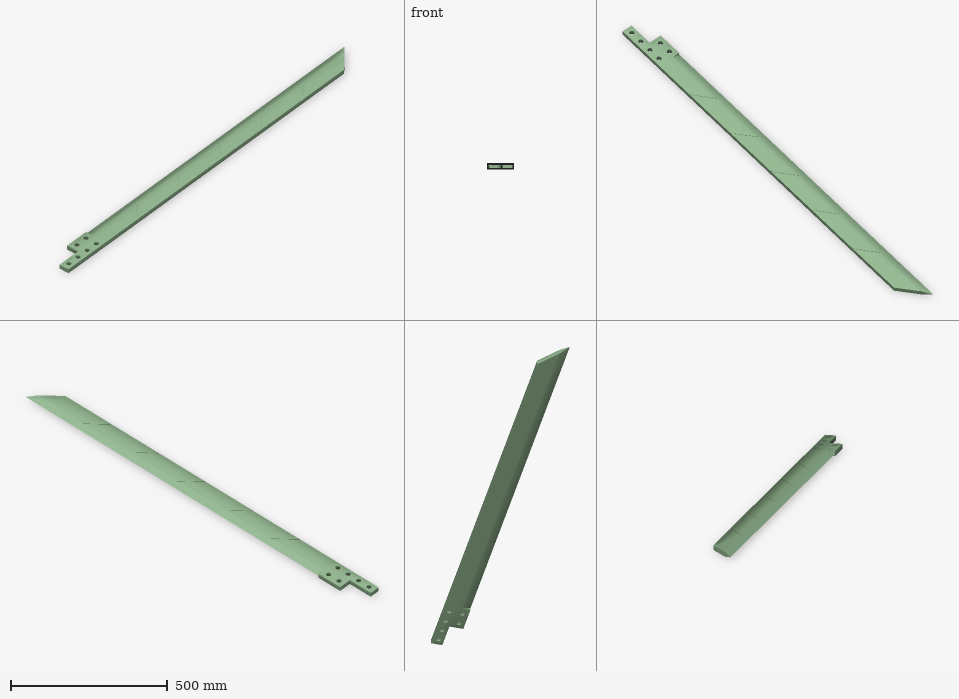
import cadquery as cq
import math

width = 82.55
length = 1449.66
thickness = 15.88

rake_angle = 49.63
rake_slope = math.tan(math.radians(rake_angle))
back_length = length - width * rake_slope

tang_width = 36.9
tang_length = 90.5

bevel_width = 25.8
bevel_start = 182.8

hole_diameter = 16.51
hole_pitch = 45.0
first_hole_y = 23.8
back_row_x = width - tang_width / 2
front_row_x = 20.64
back_row_count = 4
front_row_count = 2

groove_count = 5
groove_pitch = 203.2
groove_width = 4.0
groove_depth = 1.2


def make_plate():
    """Flat plate with the raked tip and the stepped root."""
    step_x = width - tang_width
    outline = [
        (step_x, 0),
        (width, 0),
        (width, back_length),
        (0, length),
        (0, tang_length),
        (step_x, tang_length),
    ]
    return cq.Workplane("XY").polyline(outline).close().extrude(thickness)


def make_bevel_cutter(face_z):
    """Wedge between one flat face and the cutting edge, from the bevel start past the tip."""
    section = [(0, face_z), (bevel_width, face_z), (0, thickness / 2)]
    return (
        cq.Workplane("XZ", origin=(0, bevel_start, 0))
        .polyline(section)
        .close()
        .extrude(-(length - bevel_start))
    )


def make_hole_row(row_x, first_y, count):
    """Cylinders for one row of through holes along the plate."""
    centers = [(row_x, first_y + i * hole_pitch) for i in range(count)]
    return cq.Workplane("XY").pushPoints(centers).circle(hole_diameter / 2).extrude(thickness)


def make_groove_cutter(back_y):
    """Slanted bar that crosses the whole top face and meets the back edge at back_y."""
    half_span = groove_width / math.cos(math.radians(rake_angle)) / 2
    front_y = back_y + width * rake_slope
    outline = [
        (0, front_y - half_span),
        (width, back_y - half_span),
        (width, back_y + half_span),
        (0, front_y + half_span),
    ]
    floor_z = thickness - groove_depth
    return cq.Workplane("XY", origin=(0, 0, floor_z)).polyline(outline).close().extrude(groove_depth)


result = make_plate()

for face_z in (0, thickness):
    result = result.cut(make_bevel_cutter(face_z))

result = result.cut(make_hole_row(back_row_x, first_hole_y, back_row_count))
front_row_y = first_hole_y + (back_row_count - front_row_count) * hole_pitch
result = result.cut(make_hole_row(front_row_x, front_row_y, front_row_count))

for i in range(groove_count):
    result = result.cut(make_groove_cutter(back_length - (i + 1) * groove_pitch))